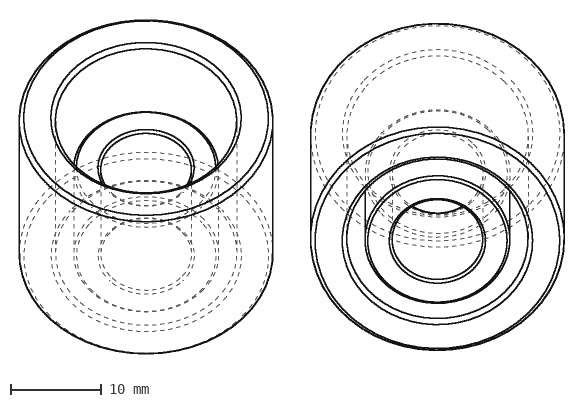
import cadquery as cq

OUTER_DIAMETER = 28.0
OUTER_BORE = 20.0
OUTER_LENGTH = 25.0
OUTER_CHAMFER = 0.5

INNER_DIAMETER = 16.0
INNER_BORE = 10.0
INNER_LENGTH = 16.0
INNER_CHAMFER = 0.3


def make_bushing(diameter, bore, length, chamfer):
    """Plain upright sleeve with all four end edges chamfered."""
    sleeve = cq.Workplane("XY").circle(diameter / 2).circle(bore / 2).extrude(length)
    return sleeve.faces("<Z or >Z").edges().chamfer(chamfer)


outer_bushing = make_bushing(OUTER_DIAMETER, OUTER_BORE, OUTER_LENGTH, OUTER_CHAMFER)
inner_bushing = make_bushing(INNER_DIAMETER, INNER_BORE, INNER_LENGTH, INNER_CHAMFER)

result = cq.Compound.makeCompound([outer_bushing.val(), inner_bushing.val()])